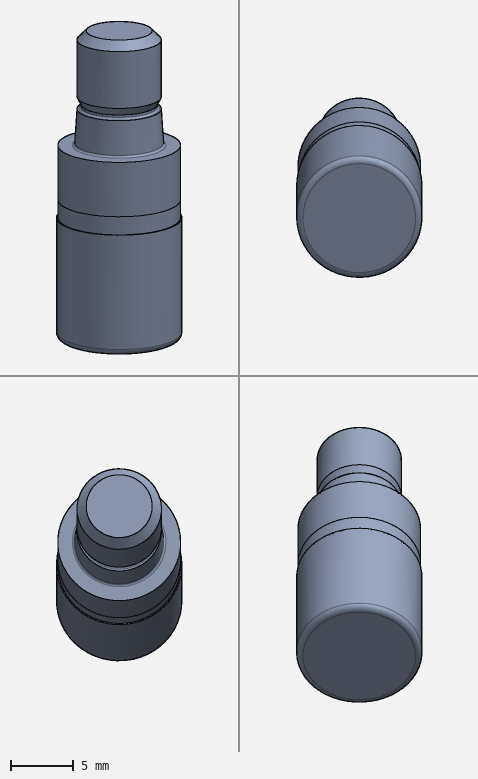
import cadquery as cq
import math

total_height = 25.5
sleeve_height = 10.0
joint_height = 11.5
shoulder_height = 16.01

sleeve_radius = 5.0
collar_radius = 4.9
bottom_fillet = 0.5

stem_radius = 3.37
root_radius = 3.55
root_fillet = 0.18
tip_chamfer = 0.75
groove_radius = 3.03
groove_top = 20.05
groove_slope_bottom = 19.4
groove_ledge = 19.02
groove_fillet = 0.18
inner_corner_angle = 225


def arc_point(center_r, center_z, radius, angle_degrees):
    """Point on an arc in the radius-height plane."""
    angle = math.radians(angle_degrees)
    return (center_r + radius * math.cos(angle), center_z + radius * math.sin(angle))


def make_base():
    """Lower body: sleeve with a rounded bottom edge, and the collar above it."""
    collar_height = joint_height - sleeve_height
    sleeve = cq.Workplane("XY").circle(sleeve_radius).extrude(sleeve_height)
    sleeve = sleeve.faces("<Z").edges().fillet(bottom_fillet)
    collar = cq.Workplane("XY").workplane(offset=sleeve_height).circle(collar_radius).extrude(collar_height)
    return sleeve.union(collar)


def make_stud():
    """Upper body: collar and grooved stem, revolved about the Z axis."""
    root_top = shoulder_height + root_fillet
    shoulder_inner = root_radius + root_fillet
    groove_fillet_top = groove_ledge + groove_fillet
    ledge_inner = groove_radius + groove_fillet
    profile = (
        cq.Workplane("XZ")
        .moveTo(0, joint_height)
        .lineTo(collar_radius, joint_height)
        .lineTo(collar_radius, shoulder_height)
        .lineTo(shoulder_inner, shoulder_height)
        .threePointArc(arc_point(shoulder_inner, root_top, root_fillet, inner_corner_angle), (root_radius, root_top))
        .lineTo(stem_radius, groove_ledge)
        .lineTo(ledge_inner, groove_ledge)
        .threePointArc(
            arc_point(ledge_inner, groove_fillet_top, groove_fillet, inner_corner_angle),
            (groove_radius, groove_fillet_top),
        )
        .lineTo(groove_radius, groove_slope_bottom)
        .lineTo(stem_radius, groove_top)
        .lineTo(stem_radius, total_height - tip_chamfer)
        .lineTo(stem_radius - tip_chamfer, total_height)
        .lineTo(0, total_height)
        .close()
    )
    return profile.revolve(360, (0, 0, 0), (0, 1, 0))


base = make_base()
stud = make_stud()

result = cq.Compound.makeCompound([base.val(), stud.val()])